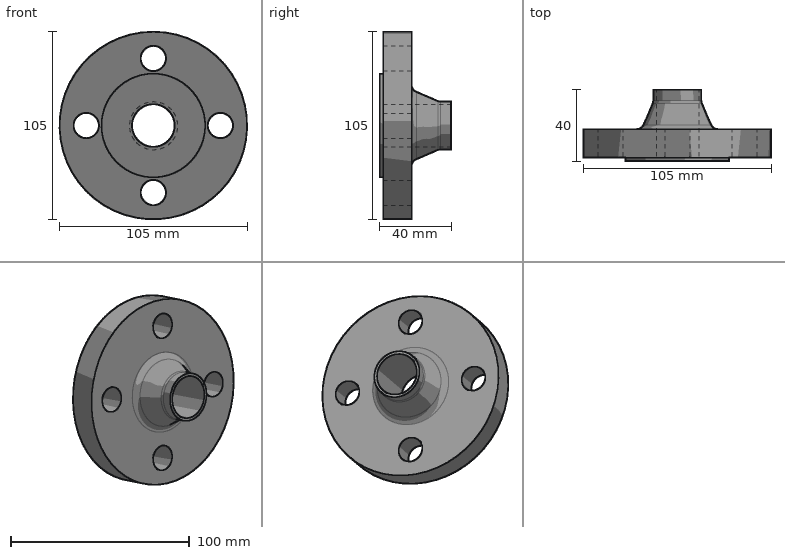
import cadquery as cq

total_length = 40.0
pipe_diameter = 26.9
wall_thickness = 1.6
bore_diameter = pipe_diameter - 2 * wall_thickness

flange_diameter = 105.0
flange_back = 18.0
raised_face_diameter = 58.0
raised_face_height = 2.0

hub_base_diameter = 40.0
neck_length = 6.8
hub_fillet_radius = 4.0

bolt_circle_diameter = 75.0
bolt_hole_diameter = 14.0
bolt_hole_count = 4


def make_body():
    """Revolve the half section (Y = axial, Z = radial) around the Y axis."""
    pipe_radius = pipe_diameter / 2
    hub_base_radius = hub_base_diameter / 2
    flange_radius = flange_diameter / 2
    raised_face_radius = raised_face_diameter / 2
    neck_start = total_length - neck_length
    body = (
        cq.Workplane("YZ")
        .moveTo(0, 0)
        .lineTo(0, raised_face_radius)
        .lineTo(raised_face_height, raised_face_radius)
        .lineTo(raised_face_height, flange_radius)
        .lineTo(flange_back, flange_radius)
        .lineTo(flange_back, hub_base_radius)
        .lineTo(neck_start, pipe_radius)
        .lineTo(total_length, pipe_radius)
        .lineTo(total_length, 0)
        .close()
        .revolve(360, (0, 0, 0), (1, 0, 0))
    )
    return body.faces("%CONE").edges("%CIRCLE").fillet(hub_fillet_radius)


def cylinder_along_axis(diameter):
    """Cylinder centred on the flange axis, spanning the whole length."""
    return cq.Workplane("XZ").circle(diameter / 2).extrude(-total_length)


def make_bolt_holes():
    """Equally spaced cutters, the first one on the +X axis."""
    return (
        cq.Workplane("XZ")
        .polarArray(bolt_circle_diameter / 2, 0, 360, bolt_hole_count)
        .circle(bolt_hole_diameter / 2)
        .extrude(-total_length)
    )


result = make_body().cut(cylinder_along_axis(bore_diameter)).cut(make_bolt_holes())